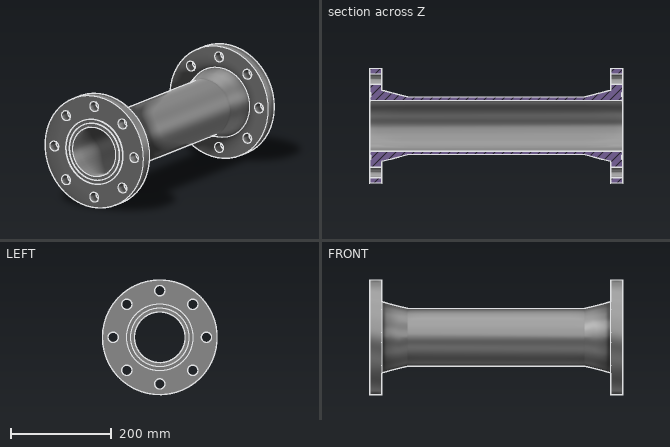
import cadquery as cq

OVERALL_LENGTH = 502.0
BORE_DIAMETER = 100.0
TUBE_DIAMETER = 115.0

FLANGE_DIAMETER = 228.0
FLANGE_THICKNESS = 24.0

HUB_LARGE_DIAMETER = 142.0
HUB_LENGTH = 52.0

BOLT_HOLE_COUNT = 8
BOLT_HOLE_DIAMETER = 20.0
BOLT_CIRCLE_DIAMETER = 185.0

GROOVE_INNER_DIAMETER = 116.0
GROOVE_OUTER_DIAMETER = 132.0
GROOVE_DEPTH = 2.0

HALF_LENGTH = OVERALL_LENGTH / 2
FLANGE_BACK = HALF_LENGTH - FLANGE_THICKNESS
HUB_END = FLANGE_BACK - HUB_LENGTH


def spool_body():
    """Revolve the half section of tube, hubs and flanges about the X axis."""
    bore_radius = BORE_DIAMETER / 2
    tube_radius = TUBE_DIAMETER / 2
    hub_radius = HUB_LARGE_DIAMETER / 2
    flange_radius = FLANGE_DIAMETER / 2
    section = [
        (-HALF_LENGTH, bore_radius),
        (-HALF_LENGTH, flange_radius),
        (-FLANGE_BACK, flange_radius),
        (-FLANGE_BACK, hub_radius),
        (-HUB_END, tube_radius),
        (HUB_END, tube_radius),
        (FLANGE_BACK, hub_radius),
        (FLANGE_BACK, flange_radius),
        (HALF_LENGTH, flange_radius),
        (HALF_LENGTH, bore_radius),
    ]
    profile = cq.Workplane("XY").polyline(section).close()
    return profile.revolve(360, (0, 0, 0), (1, 0, 0))


def bolt_holes():
    """Cylinders through both flanges, equally spaced and starting on the Y axis."""
    return (
        cq.Workplane("YZ")
        .workplane(offset=-HALF_LENGTH)
        .polarArray(BOLT_CIRCLE_DIAMETER / 2, 0, 360, BOLT_HOLE_COUNT)
        .circle(BOLT_HOLE_DIAMETER / 2)
        .extrude(OVERALL_LENGTH)
    )


def face_groove(start_x):
    """Ring of groove depth that extends toward +X from start_x."""
    return (
        cq.Workplane("YZ")
        .workplane(offset=start_x)
        .circle(GROOVE_OUTER_DIAMETER / 2)
        .circle(GROOVE_INNER_DIAMETER / 2)
        .extrude(GROOVE_DEPTH)
    )


result = spool_body().cut(bolt_holes())
for groove_start in (-HALF_LENGTH, HALF_LENGTH - GROOVE_DEPTH):
    result = result.cut(face_groove(groove_start))